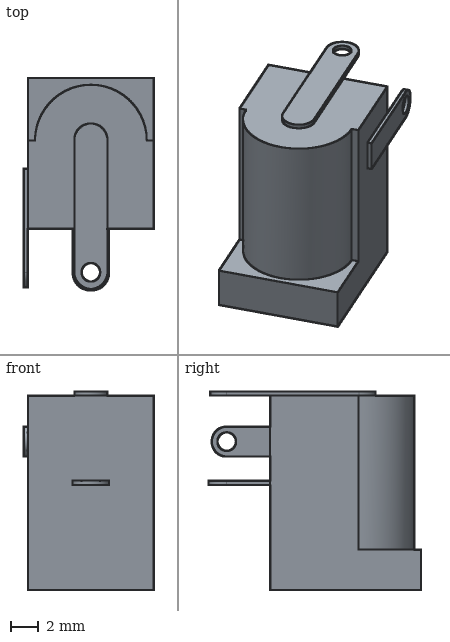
import cadquery as cq

housing_width = 9.0
base_depth = 10.79
base_height = 2.89
housing_height = 13.9
shoulder_depth = 6.31
barrel_radius = 4.0

tag_thickness = 0.3
tag_hole_diameter = 1.3
tag_hole_y = -3.1
top_tag_width = 2.37
top_tag_back_y = 6.35
side_tag_width = 2.16
side_tag_back_y = 4.32
side_tag_z = 10.61
lower_tag_width = 2 * (15.2 - base_depth + tag_hole_y)
lower_tag_bottom_z = 7.51


def block(width, depth, height):
    """Box centred in X, reaching back from Y = 0 and up from Z = 0."""
    return cq.Workplane("XY").box(width, depth, height, centered=(True, False, False))


def disc(diameter, y):
    """Disc of tag thickness standing on Z = 0."""
    return cq.Workplane("XY").center(0, y).circle(diameter / 2).extrude(tag_thickness)


def make_tag(width, back_y):
    """Flat tag with a square back end and a rounded, still undrilled, front end."""
    strip = block(width, back_y - tag_hole_y, tag_thickness).translate((0, tag_hole_y, 0))
    return strip.union(disc(width, tag_hole_y))


def drill_tag(tag):
    """Cut the solder hole at the centre of the rounded end."""
    return tag.cut(disc(tag_hole_diameter, tag_hole_y))


def make_housing():
    """Square base carrying a body with a half-round back."""
    base = block(housing_width, base_depth, base_height)
    body = block(housing_width, shoulder_depth, housing_height)
    barrel = (
        cq.Workplane("XY")
        .center(0, shoulder_depth)
        .circle(barrel_radius)
        .extrude(housing_height)
    )
    return base.union(body).union(barrel)


top_tag = make_tag(top_tag_width, top_tag_back_y).union(disc(top_tag_width, top_tag_back_y))
top_tag = drill_tag(top_tag).translate((0, 0, housing_height))

lower_tag = drill_tag(make_tag(lower_tag_width, 0)).translate((0, 0, lower_tag_bottom_z))

side_tag = (
    drill_tag(make_tag(side_tag_width, side_tag_back_y))
    .rotate((0, 0, 0), (0, 1, 0), -90)
    .translate((-housing_width / 2, 0, side_tag_z))
)

result = make_housing().union(top_tag).union(lower_tag).union(side_tag)